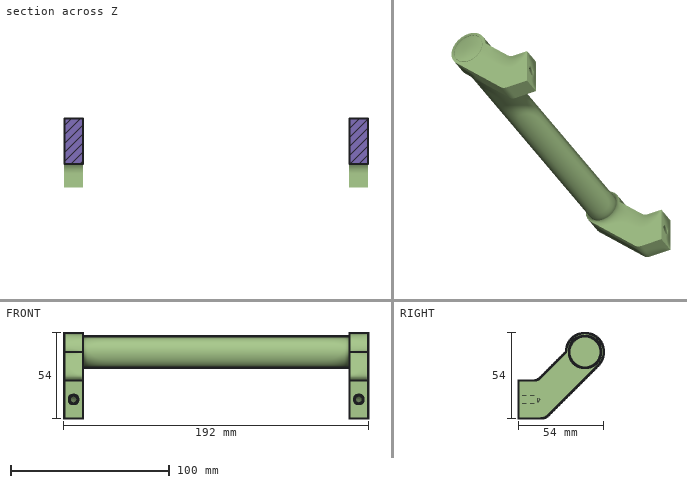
import cadquery as cq
import math

overall_length = 192.0
bracket_thickness = 12.0
head_radius = 12.0
tube_diameter = 20.0

axis_offset = 42.0
foot_height = 24.0
arm_bend_radius = 6.0

groove_outer_diameter = 20.4
groove_width = 0.3
groove_depth = 0.3

hole_diameter = 5.0
hole_mouth_diameter = 6.0
hole_depth = 12.0
drill_point_angle = 118.0

mount_y = -axis_offset
foot_bottom_z = -axis_offset
foot_top_z = foot_bottom_z + foot_height
foot_mid_z = foot_bottom_z + foot_height / 2
half_length = overall_length / 2
bracket_centre_x = half_length - bracket_thickness / 2

tangent_offset = head_radius * math.sin(math.radians(45))
lower_bend_y = -axis_offset + 2 * tangent_offset
upper_bend_y = -head_radius + foot_top_z


def make_bracket(centre_x):
    """Bracket with a round head, a sloping arm and a foot, centred at centre_x."""
    profile = (
        cq.Workplane("YZ", origin=(centre_x - bracket_thickness / 2, 0, 0))
        .moveTo(-head_radius, 0)
        .threePointArc((tangent_offset, tangent_offset), (tangent_offset, -tangent_offset))
        .lineTo(lower_bend_y, foot_bottom_z)
        .lineTo(mount_y, foot_bottom_z)
        .lineTo(mount_y, foot_top_z)
        .lineTo(upper_bend_y, foot_top_z)
        .close()
    )
    bracket = profile.extrude(bracket_thickness)
    for bend_y, bend_z in ((lower_bend_y, foot_bottom_z), (upper_bend_y, foot_top_z)):
        bend_edge = cq.selectors.NearestToPointSelector((centre_x, bend_y, bend_z))
        bracket = bracket.edges("|X").edges(bend_edge).fillet(arm_bend_radius)
    return bracket


def make_tube():
    """Round grip bar that runs the full length through both heads."""
    return cq.Workplane("YZ", origin=(-half_length, 0, 0)).circle(tube_diameter / 2).extrude(overall_length)


def make_groove(start_x):
    """Ring-shaped cutter for the groove around the tube end, starting at start_x."""
    return (
        cq.Workplane("YZ", origin=(start_x, 0, 0))
        .circle(groove_outer_diameter / 2)
        .circle(groove_outer_diameter / 2 - groove_width)
        .extrude(groove_depth)
    )


def make_mounting_hole(centre_x):
    """Cutter for a blind hole with a conical mouth and a drill-point bottom."""
    hole_radius = hole_diameter / 2
    mouth_radius = hole_mouth_diameter / 2
    mouth_depth = mouth_radius - hole_radius
    point_depth = hole_radius / math.tan(math.radians(drill_point_angle / 2))
    return (
        cq.Workplane("XY", origin=(centre_x, mount_y, foot_mid_z))
        .lineTo(mouth_radius, 0)
        .lineTo(hole_radius, mouth_depth)
        .lineTo(hole_radius, hole_depth)
        .lineTo(0, hole_depth + point_depth)
        .close()
        .revolve(360, (0, 0, 0), (0, 1, 0))
    )


result = make_tube()
for side in (-1, 1):
    result = result.union(make_bracket(side * bracket_centre_x))
for side in (-1, 1):
    result = result.cut(make_mounting_hole(side * bracket_centre_x))
for groove_start_x in (-half_length, half_length - groove_depth):
    result = result.cut(make_groove(groove_start_x))